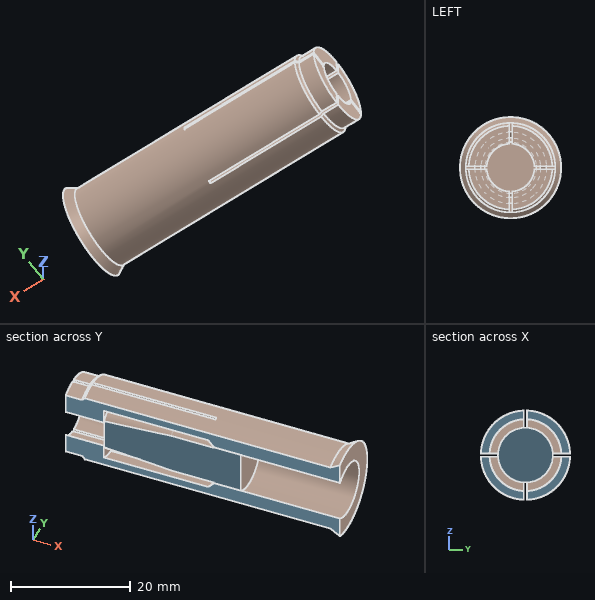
import cadquery as cq
import math


sleeve_length = 50.0
body_radius = 15.0 / 2
nose_radius = 14.0 / 2
nose_length = 3.0
shoulder_chamfer = body_radius - nose_radius
flare_radius = 17.0 / 2
flare_angle = 30.0
flare_length = (flare_radius - body_radius) / math.tan(math.radians(flare_angle))

slot_width = 0.5
slot_length = 26.0
slot_angles = (0, 90)

nose_bore_radius = 8.0 / 2
nose_bore_length = 7.0
chamber_radius = 12.0 / 2
chamber_end = slot_length
mouth_bore_radius = 10.0 / 2
bore_cone_length = chamber_radius - mouth_bore_radius

plug_tip_x = nose_bore_length
plug_tip_radius = 4.3
plug_radius = mouth_bore_radius
plug_taper_length = 12.2
plug_length = 25.0


def revolve_about_x(half_profile):
    """Revolve a closed (x, radius) profile about the X axis."""
    profile = cq.Workplane("XY").polyline(half_profile).close()
    return profile.revolve(360, (0, 0, 0), (1, 0, 0))


def make_slot_cutter(angle):
    """Blade across the whole nose, turned about X by the given angle."""
    blade = cq.Workplane("XY").box(
        slot_length, slot_width, 2 * flare_radius, centered=(False, True, True)
    )
    return blade.rotate((0, 0, 0), (1, 0, 0), angle)


def make_sleeve():
    """Flared sleeve with a stepped bore and a cross-slotted nose."""
    outside = [
        (0, nose_radius),
        (nose_length, nose_radius),
        (nose_length + shoulder_chamfer, body_radius),
        (sleeve_length - flare_length, body_radius),
        (sleeve_length, flare_radius),
    ]
    bore = [
        (sleeve_length, mouth_bore_radius),
        (chamber_end + bore_cone_length, mouth_bore_radius),
        (chamber_end, chamber_radius),
        (nose_bore_length, chamber_radius),
        (nose_bore_length, nose_bore_radius),
        (0, nose_bore_radius),
    ]
    sleeve = revolve_about_x(outside + bore)
    for angle in slot_angles:
        sleeve = sleeve.cut(make_slot_cutter(angle))
    return sleeve


def make_plug():
    """Solid expander plug with its tapered tip against the nose shoulder."""
    plug_end_x = plug_tip_x + plug_length
    return revolve_about_x([
        (plug_tip_x, 0),
        (plug_tip_x, plug_tip_radius),
        (plug_tip_x + plug_taper_length, plug_radius),
        (plug_end_x, plug_radius),
        (plug_end_x, 0),
    ])


sleeve = make_sleeve()
plug = make_plug()

result = cq.Compound.makeCompound([sleeve.solids().val(), plug.solids().val()])